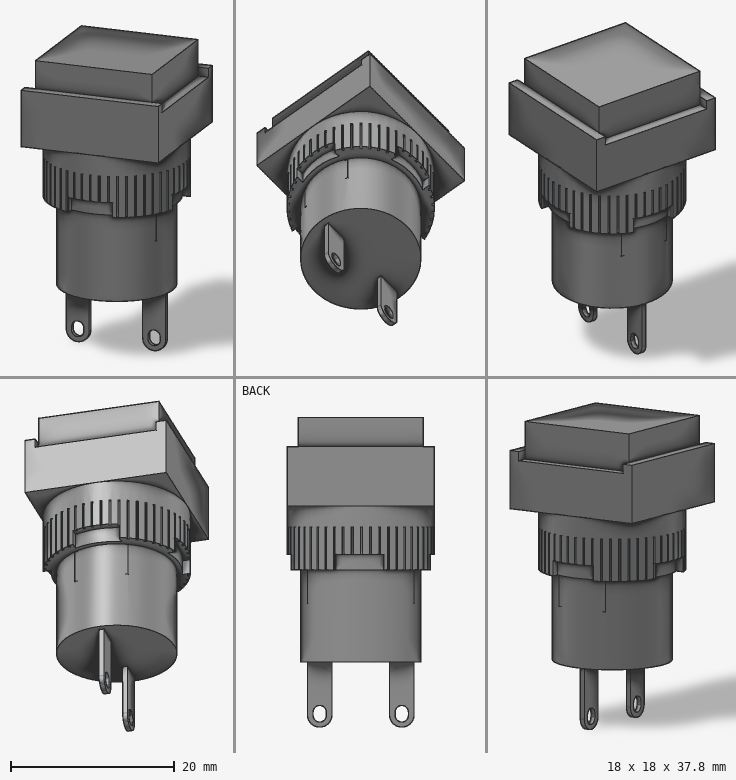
import cadquery as cq

TOTAL_HEIGHT = 37.8
BEZEL_TOP = 34.25
LEDGE_HEIGHT = 33.1
BEZEL_BOTTOM = 27.03
GROOVE_TOP = 24.4
NOTCH_TOP = 21.1
NUT_BOTTOM = 19.2
CARRIER_TOP = NUT_BOTTOM
CARRIER_BOTTOM = 15.12
BARREL_BOTTOM = 7.95

BEZEL_SIDE = 18.0
CAP_SIDE = 15.3
CHANNEL_WIDTH = 15.4

NUT_DIAMETER = BEZEL_SIDE
GROOVE_COUNT = 50
GROOVE_ANGLE = -89.5
GROOVE_WIDTH = 0.23
GROOVE_DEPTH = 0.3
NOTCH_COUNT = 4
NOTCH_ANGLE = -0.7
NOTCH_WIDTH = 5.82
NOTCH_DEPTH = 1.0

BARREL_DIAMETER = 14.7

CARRIER_LENGTH = 13.05
CARRIER_WIDTH = 6.8
TERMINAL_WIDTH = 3.02
TERMINAL_SPACING = CARRIER_LENGTH - TERMINAL_WIDTH
TERMINAL_THICKNESS = 0.6
EYE_WIDTH = 1.6
EYE_LENGTH = 2.0
EYE_BOTTOM = 0.65


def block(x_size, y_size, bottom, top):
    """Box centred on the Z axis between two heights."""
    return (
        cq.Workplane("XY")
        .workplane(offset=bottom)
        .rect(x_size, y_size)
        .extrude(top - bottom)
    )


def cylinder(diameter, bottom, top):
    """Cylinder on the Z axis between two heights."""
    return (
        cq.Workplane("XY")
        .workplane(offset=bottom)
        .circle(diameter / 2)
        .extrude(top - bottom)
    )


def make_bezel():
    """Square block with a channel along X that holds the cap between two raised rails."""
    bezel = block(BEZEL_SIDE, BEZEL_SIDE, BEZEL_BOTTOM, BEZEL_TOP)
    channel = block(BEZEL_SIDE, CHANNEL_WIDTH, LEDGE_HEIGHT, BEZEL_TOP)
    return bezel.cut(channel)


def turned(shape, angle):
    """Copy of a shape turned about the Z axis."""
    return shape.rotate((0, 0, 0), (0, 0, 1), angle)


def make_nut():
    """Ring nut with axial grip grooves and shallow notches in its lower edge."""
    nut = cylinder(NUT_DIAMETER, NUT_BOTTOM, BEZEL_BOTTOM)
    nut = nut.cut(cylinder(BARREL_DIAMETER, NUT_BOTTOM, BEZEL_BOTTOM))

    groove = block(2 * GROOVE_DEPTH, GROOVE_WIDTH, NUT_BOTTOM, GROOVE_TOP)
    groove = groove.translate((NUT_DIAMETER / 2, 0, 0))
    groove_step = 360 / GROOVE_COUNT
    for index in range(GROOVE_COUNT):
        nut = nut.cut(turned(groove, GROOVE_ANGLE + index * groove_step))

    notch = block(NUT_DIAMETER, NOTCH_WIDTH, NUT_BOTTOM, NOTCH_TOP)
    notch = notch.translate((NUT_DIAMETER / 2, 0, 0))
    notch_floor = cylinder(NUT_DIAMETER - 2 * NOTCH_DEPTH, NUT_BOTTOM, NOTCH_TOP)
    notch = notch.cut(notch_floor)
    notch_step = 360 / NOTCH_COUNT
    for index in range(NOTCH_COUNT):
        nut = nut.cut(turned(notch, NOTCH_ANGLE + index * notch_step))
    return nut


def make_cap():
    """Plain square button that sits on the bezel ledge."""
    return block(CAP_SIDE, CAP_SIDE, LEDGE_HEIGHT, TOTAL_HEIGHT)


def make_terminal(x_center):
    """Flat blade with a rounded tip and a slotted eye, reaching up to the carrier block."""
    tip_radius = TERMINAL_WIDTH / 2
    blade = (
        cq.Workplane("XZ")
        .moveTo(-tip_radius, CARRIER_BOTTOM)
        .lineTo(-tip_radius, tip_radius)
        .threePointArc((0, 0), (tip_radius, tip_radius))
        .lineTo(tip_radius, CARRIER_BOTTOM)
        .close()
        .extrude(TERMINAL_THICKNESS / 2, both=True)
    )
    eye = (
        cq.Workplane("XZ")
        .center(0, EYE_BOTTOM + EYE_LENGTH / 2)
        .slot2D(EYE_LENGTH, EYE_WIDTH, 90)
        .extrude(TERMINAL_THICKNESS, both=True)
    )
    return blade.cut(eye).translate((x_center, 0, 0))


def make_carrier():
    """Contact carrier block joined with its two terminals."""
    carrier = block(CARRIER_LENGTH, CARRIER_WIDTH, CARRIER_BOTTOM, CARRIER_TOP)
    for side in (-1, 1):
        carrier = carrier.union(make_terminal(side * TERMINAL_SPACING / 2))
    return carrier


def make_housing(carrier):
    """Bezel and barrel in one piece, with a recess matching the contact carrier."""
    barrel = cylinder(BARREL_DIAMETER, BARREL_BOTTOM, BEZEL_BOTTOM)
    return make_bezel().union(barrel).cut(carrier)


carrier = make_carrier()
housing = make_housing(carrier)
nut = make_nut()
cap = make_cap()

bodies = [housing, cap, nut, carrier]
result = cq.Compound.makeCompound([body.solids().val() for body in bodies])